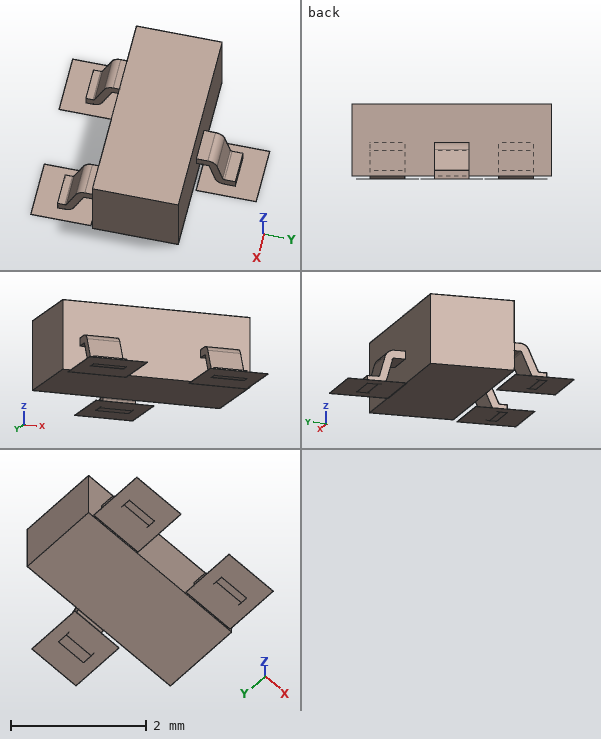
import cadquery as cq
import math

overall_length = 3.2
overall_height = 1.11

body_width = 2.95
body_depth = 1.3
body_clearance = 0.045

pad_side = 0.912
pad_thickness = 0.003
pad_offset = (overall_length - pad_side) / 2

lead_pitch = 0.95
lead_width = 0.515
lead_thickness = 0.12
lead_top = 0.545
toe_reach = 1.24
inner_bend_radius = 0.025
outer_bend_radius = inner_bend_radius + lead_thickness
shoulder_reach = 0.84
front_slope = 65.5
back_slope = 74.0


def make_body():
    height = overall_height - body_clearance
    return (
        cq.Workplane("XY")
        .workplane(offset=body_clearance)
        .rect(body_width, body_depth)
        .extrude(height)
    )


def make_pad():
    """Square pad below a lead on the +Y side."""
    return cq.Workplane("XY").center(0, pad_offset).rect(pad_side, pad_side).extrude(pad_thickness)


def make_lead(slope):
    """Gull-wing lead on the +Y side; slope is its leg angle from horizontal, in degrees."""
    angle = math.radians(slope)
    bend_shift = lead_thickness * math.tan(angle / 2)
    shoulder_bottom = lead_top - lead_thickness
    foot_top = pad_thickness + lead_thickness
    leg_run = (lead_top - foot_top) / math.tan(angle)
    shoulder_outer = shoulder_reach + bend_shift
    foot_inner = shoulder_outer + leg_run
    heel = foot_inner - bend_shift
    root = body_depth / 2

    outline = [
        (root, lead_top),
        (shoulder_outer, lead_top),
        (foot_inner, foot_top),
        (toe_reach, foot_top),
        (toe_reach, pad_thickness),
        (heel, pad_thickness),
        (shoulder_reach, shoulder_bottom),
        (root, shoulder_bottom),
    ]
    lead = cq.Workplane("YZ").polyline(outline).close().extrude(lead_width / 2, both=True)

    def bend_edge(y, z):
        return cq.selectors.NearestToPointSelector((0, y, z))

    outer_edges = bend_edge(shoulder_outer, lead_top) + bend_edge(heel, pad_thickness)
    inner_edges = bend_edge(foot_inner, foot_top) + bend_edge(shoulder_reach, shoulder_bottom)
    lead = lead.edges(outer_edges).fillet(outer_bend_radius)
    return lead.edges(inner_edges).fillet(inner_bend_radius)


result = make_body().union(make_pad()).union(make_lead(back_slope))

front_terminal = make_pad().union(make_lead(front_slope)).rotate((0, 0, 0), (0, 0, 1), 180)
for side in (-1, 1):
    result = result.union(front_terminal.translate((side * lead_pitch, 0, 0)))